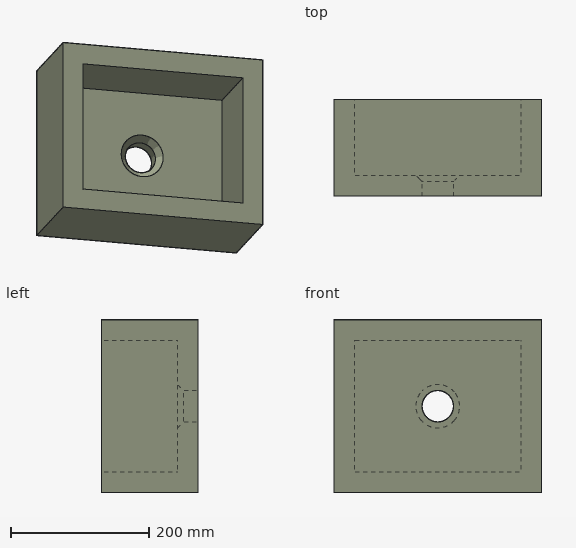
import cadquery as cq

length = 300.0
depth = 140.0
height = 250.0

wall = 30.0

bore_diameter = 45.0
flare = 9.0

inner_face_y = wall - depth / 2


def block():
    """Rectangular body centred on the origin."""
    return cq.Workplane("XY").box(length, depth, height)


def hollow():
    """Rectangular pocket from the +Y face down to the front wall."""
    pocket = cq.Workplane("XY").box(length - 2 * wall, depth - wall, height - 2 * wall)
    return pocket.translate((0, wall / 2, 0))


def outlet():
    """Round bore along Y, ending in a 45 degree cone at the inner face of the front wall."""
    bore_radius = bore_diameter / 2
    cone_start_y = inner_face_y - flare
    profile = (
        cq.Workplane("XY")
        .moveTo(0, -depth / 2)
        .lineTo(bore_radius, -depth / 2)
        .lineTo(bore_radius, cone_start_y)
        .lineTo(bore_radius + flare, inner_face_y)
        .lineTo(0, inner_face_y)
        .close()
    )
    return profile.revolve(360, (0, 0, 0), (0, 1, 0))


result = block().cut(hollow()).cut(outlet())